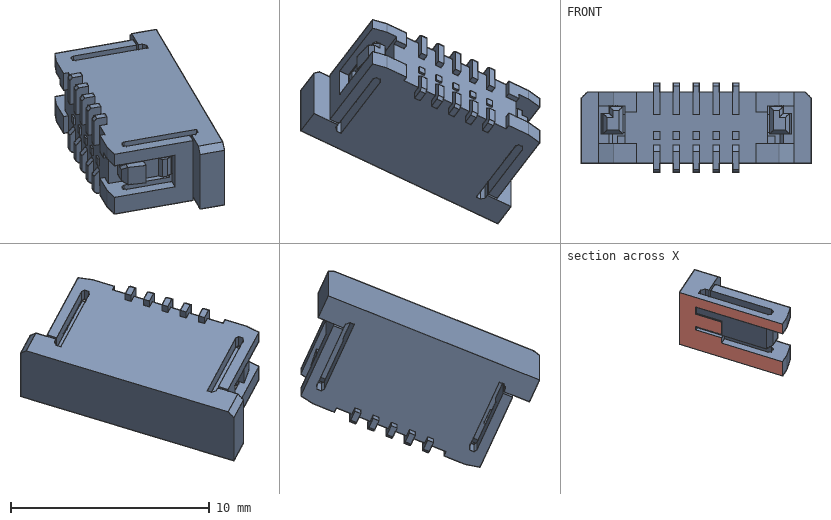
import cadquery as cq
import math


height = 3.6
flange_width = 11.6
flange_depth = 1.3
flange_chamfer = 0.31
body_width = 9.84
gap_depth = 0.09
ear_depth = 5.71
ear_bevel_width = 0.74
ear_bevel_depth = 0.15
face_depth = 5.45
face_width = 6.01

pocket_back = 2.34
pocket_inner_x = -3.6
pocket_bottom = 1.01
pocket_top = 2.9
upper_ear_bottom = 2.59

slot_outer_x = -4.4
slot_inner_x = -3.98
slot_back = 0.92
slot_back_chamfer = 0.17
slot_taper_start = 4.75
slot_front = 4.9
slot_taper = 0.09
tunnel_bottom = 1.37

arm_outer_x = -4.38
arm_inner_x = -3.7
arm_bottom = 1.47
arm_top = 2.87
arm_shoulder = 4.78
arm_front = 5.06
tip_inset = 0.2
barb_top = 2.52
barb_back = 3.84
barb_back_x = -4.8
barb_front_x = -4.7
bump_x = -4.54
bump_back = 2.38
bump_rise_end = 2.62
bump_fall_start = 2.89
lug_bottom = 1.55
lug_top = 2.45

contact_count = 5
contact_pitch = 1.0
contact_width = 0.32
contact_front = 5.75
contact_back = 5.07
contact_overhang = 0.45
contact_chamfer = 0.15
upper_contact_bottom = 2.46
lower_contact_top = 0.92
lower_contact_slope = 0.31
pad_bottom = 1.2
pad_top = 1.61
pad_front = 5.55

flange_half = flange_width / 2
body_half = body_width / 2
face_half = face_width / 2
side_wall_back = flange_depth + gap_depth


def block(x_range, depth_range, z_range):
    """Box between pairs of X, depth and Z limits."""
    corner = (x_range[0], -depth_range[1], z_range[0])
    return cq.Workplane("XY").box(
        x_range[1] - x_range[0],
        depth_range[1] - depth_range[0],
        z_range[1] - z_range[0],
        centered=False,
    ).translate(corner)


def plan_prism(points, z_range):
    """Extrude an outline of (X, depth) points between two heights."""
    outline = [(x, -depth) for x, depth in points]
    prism = cq.Workplane("XY").polyline(outline).close().extrude(z_range[1] - z_range[0])
    return prism.translate((0, 0, z_range[0]))


def side_prism(points, x_center, width):
    """Extrude an outline of (depth, Z) points along X, centred on x_center."""
    outline = [(-depth, z) for depth, z in points]
    prism = cq.Workplane("YZ").polyline(outline).close().extrude(width / 2, both=True)
    return prism.translate((x_center, 0, 0))


def both_ends(left):
    """Left-hand feature together with its mirror image at the right."""
    return left.union(left.mirror("YZ"))


def make_housing():
    """Rear flange and body with bevelled corner ears."""
    flange = block((-flange_half, flange_half), (0, flange_depth), (0, height))
    flange = flange.edges("|Y and >Z").chamfer(flange_chamfer)
    bevel_x = body_half - ear_bevel_width
    bevel_depth = ear_depth - ear_bevel_depth
    body = plan_prism(
        [
            (-body_half, 0),
            (-body_half, bevel_depth),
            (-bevel_x, ear_depth),
            (-face_half, ear_depth),
            (-face_half, face_depth),
            (face_half, face_depth),
            (face_half, ear_depth),
            (bevel_x, ear_depth),
            (body_half, bevel_depth),
            (body_half, 0),
        ],
        (0, height),
    )
    return flange.union(body)


def make_end_cavity():
    """Material removed around the left latch arm."""
    pocket = block((-body_half, pocket_inner_x), (pocket_back, ear_depth), (pocket_bottom, pocket_top))
    ear_notch = block((pocket_inner_x, -face_half), (face_depth, ear_depth), (pocket_bottom, upper_ear_bottom))
    gap = block((-body_half, slot_outer_x), (flange_depth, side_wall_back), (0, height))
    tunnel = block((slot_inner_x, pocket_inner_x), (slot_back, pocket_back), (tunnel_bottom, pocket_top))
    slot = plan_prism(
        [
            (slot_inner_x, slot_back),
            (slot_outer_x + slot_back_chamfer, slot_back),
            (slot_outer_x, slot_back + slot_back_chamfer),
            (slot_outer_x, slot_taper_start),
            (slot_outer_x + slot_taper, slot_front),
            (slot_inner_x - slot_taper, slot_front),
            (slot_inner_x, slot_taper_start),
        ],
        (0, height),
    )
    return pocket.union(ear_notch).union(gap).union(tunnel).union(slot)


def tapered_tip(outer_x, top):
    """Rectangular arm end that narrows evenly towards its front."""
    length = arm_front - arm_shoulder
    return (
        cq.Workplane("XZ", origin=(0, -arm_shoulder, 0))
        .moveTo((outer_x + arm_inner_x) / 2, (arm_bottom + top) / 2)
        .rect(arm_inner_x - outer_x, top - arm_bottom)
        .extrude(length, taper=math.degrees(math.atan2(tip_inset, length)))
    )


def make_latch_arm():
    """Left latch arm with its barb, side bump, root lug and tapered tip."""
    arm = block((arm_outer_x, arm_inner_x), (slot_back, arm_shoulder), (arm_bottom, arm_top))
    lug = block((arm_inner_x, pocket_inner_x), (slot_back, pocket_back), (lug_bottom, lug_top))
    barb = plan_prism(
        [
            (arm_inner_x, barb_back),
            (barb_back_x, barb_back),
            (barb_front_x, arm_shoulder),
            (arm_inner_x, arm_shoulder),
        ],
        (arm_bottom, barb_top),
    )
    bump = plan_prism(
        [
            (arm_inner_x, bump_back),
            (arm_outer_x, bump_back),
            (bump_x, bump_rise_end),
            (bump_x, bump_fall_start),
            (arm_outer_x, bump_fall_start + arm_outer_x - bump_x),
            (arm_inner_x, bump_fall_start + arm_outer_x - bump_x),
        ],
        (arm_bottom, barb_top),
    )
    tall_tip = tapered_tip(arm_outer_x, arm_top)
    wide_tip = tapered_tip(barb_front_x, barb_top)
    return arm.union(lug).union(barb).union(bump).union(tall_tip).union(wide_tip)


def make_contact(x_center):
    """Upper hook, middle pad and lower hook of one contact."""
    top = height + contact_overhang
    bottom = -contact_overhang
    upper = side_prism(
        [
            (contact_back, height),
            (contact_back, top),
            (contact_front - contact_chamfer, top),
            (contact_front, top - contact_chamfer),
            (contact_front, upper_contact_bottom),
            (face_depth, upper_contact_bottom),
            (face_depth, height),
        ],
        x_center,
        contact_width,
    )
    lower = side_prism(
        [
            (contact_back, 0),
            (contact_back, bottom),
            (contact_front - contact_chamfer, bottom),
            (contact_front, bottom + contact_chamfer),
            (contact_front, lower_contact_top - lower_contact_slope),
            (face_depth, lower_contact_top),
            (face_depth, 0),
        ],
        x_center,
        contact_width,
    )
    half_width = contact_width / 2
    pad = block((x_center - half_width, x_center + half_width), (face_depth, pad_front), (pad_bottom, pad_top))
    return upper.union(lower).union(pad)


result = make_housing().cut(both_ends(make_end_cavity())).union(both_ends(make_latch_arm()))
for index in range(contact_count):
    contact_x = (index - (contact_count - 1) / 2) * contact_pitch
    result = result.union(make_contact(contact_x))